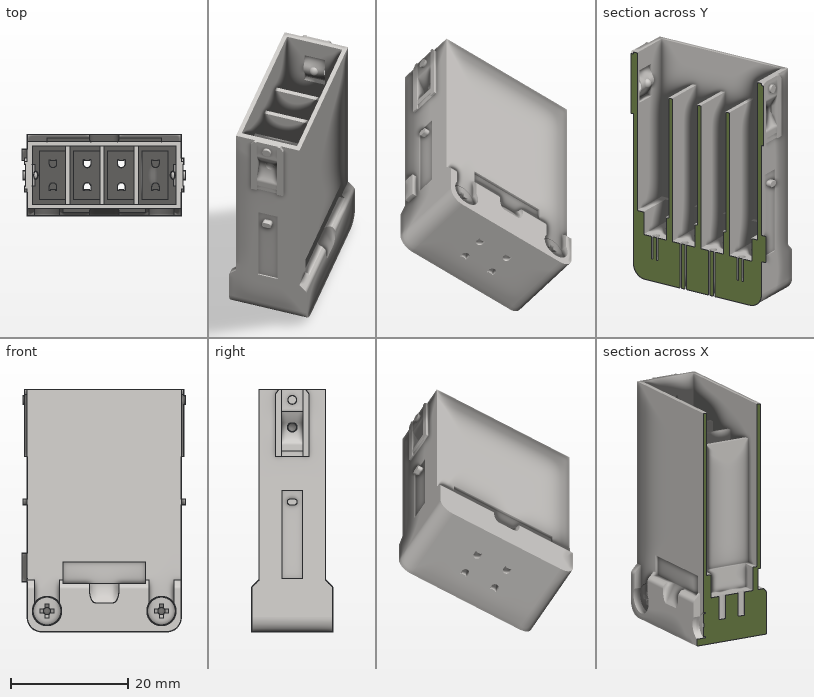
import cadquery as cq
import math

height = 41.4
body_width = 26.35
body_depth = 11.43
end_wall = 0.9
side_wall = 0.75
half_width = body_width / 2
half_depth = body_depth / 2

base_depth = 13.9
base_corner_radius = 2.5
plate = (base_depth - body_depth) / 2
plate_bevel_start = 7.65
bevel_blend_radius = 0.83

window_top = 11.92
window_bottom = 8.3
front_window_width = 14.15
back_window_width = 19.55
window_recess = 0.5
window_reach = 2 * plate
scoop_width = 5.05
scoop_flat = 3.02
scoop_bottom = 4.95

screw_x = 9.75
screw_z = 3.55
screw_hole_diameter = 5.0
screw_head_diameter = 4.75
screw_gap_depth = 0.4
channel_width = 4.25
cross_core_diameter = 1.25
cross_span = 2.45
cross_arm_width = 0.75
cross_arm_depth = 1.15
cross_core_depth = 1.25

floor_z = 12.4
partition_top = 34.53
partition_width = 0.75
partition_offset = -0.37
chamber_pitch = 5.85
pit_length = 8.3
pit_depth = 4.15
pit_margin = 0.6
pit_width = chamber_pitch - partition_width - pit_margin
contact_diameter = 1.3
contact_y = 1.95
contact_square_reach = 0.65
contact_tab_width = 0.83
contact_tab_height = 0.12
blind_contact_depth = 4.15

key_width = 1.95
key_bottom = 8.53
key_top = 13.45
key_y = 3.48
key_reach = 0.9

label_width = 3.45
label_bottom = 9.15
label_top = 24.18
label_recess = 0.2
lug_length = 1.65
lug_height = 1.05
lug_z = 22.2
stud_reach = 0.75

clip_bottom = 29.95
clip_width = 3.73
clip_reach = 0.3
clip_step_z = 30.93
clip_step = 0.12
rail_outer_width = 5.8
rail_reach = 0.45
rail_bevel = 0.6
rail_bevel_height = 0.83
stud_diameter = 1.5
stud_z = 39.6
bend_z = 34.95
bend_half_height = 2.8
bend_depth = 1.65
bend_radius = 1.45
bend_edge_radius = 0.83
clip_window_margin = 0.15
sheet = 0.2
dimple_radius = 0.75
dome_radius = dimple_radius + 0.1
dimple_center = 1.08


def block(x0, x1, y0, y1, z0, z1):
    """Box given by its limits along the three axes."""
    return cq.Workplane("XY").box(x1 - x0, y1 - y0, z1 - z0, centered=False).translate((x0, y0, z0))


def mirrored_pair(shape, plane):
    """The shape together with its mirror image."""
    return shape.union(shape.mirror(plane))


def make_base():
    """Base block whose plates end in a bevel that blends into the plate face."""
    half = base_depth / 2
    bevel_top = plate_bevel_start + plate
    profile = [
        (-half, 0),
        (half, 0),
        (half, plate_bevel_start),
        (half_depth, bevel_top),
        (-half_depth, bevel_top),
        (-half, plate_bevel_start),
    ]
    base = cq.Workplane("YZ").polyline(profile).close().extrude(half_width, both=True)
    margin = 0.05
    for y in (-half, half):
        bend = cq.selectors.BoxSelector(
            (-body_width, y - margin, plate_bevel_start - margin),
            (body_width, y + margin, plate_bevel_start + margin),
        )
        base = base.edges(bend).fillet(bevel_blend_radius)
    return base


def make_housing():
    """Solid base and body, with the two lower corners rounded along Y."""
    body = block(-half_width, half_width, -half_depth, half_depth, 0, height)
    outline = (
        block(-half_width, half_width, -base_depth, base_depth, 0, height)
        .edges("|Y and <Z")
        .fillet(base_corner_radius)
    )
    return make_base().union(body).intersect(outline)


def make_window(width):
    """Latch window of the front face, including the shelf it leaves on the plate."""
    half = width / 2
    front = -half_depth - window_reach
    back = -half_depth + window_recess
    return block(-half, half, front, back, window_bottom, window_top)


def make_scoop():
    """Ramp running down and out through the front plate, with rounded flanks."""
    run = window_bottom - scoop_bottom
    depth = plate + window_recess
    tilt = math.degrees(math.atan2(depth, run))
    flank = (scoop_width - scoop_flat) / 2
    ramp_length = math.hypot(run, depth)
    flat = scoop_flat / 2
    edge = scoop_width / 2
    opening = 3 * plate
    trough = (
        cq.Workplane("XY")
        .moveTo(-flat, 0)
        .lineTo(flat, 0)
        .radiusArc((edge, flank), -flank)
        .lineTo(edge, opening)
        .lineTo(-edge, opening)
        .lineTo(-edge, flank)
        .radiusArc((-flat, 0), -flank)
        .close()
        .extrude(2 * ramp_length, both=True)
        .rotate((0, 0, 0), (0, 0, 1), 180)
        .rotate((0, 0, 0), (1, 0, 0), -tilt)
        .translate((0, window_recess - half_depth, window_bottom))
    )
    limit = block(-edge, edge, -base_depth, window_recess - half_depth, 0, window_bottom)
    return trough.intersect(limit)


def make_screw_cut():
    """Hole, access channel, head gap and cross recess of one screw."""
    face = cq.Workplane("XZ", origin=(0, -half_depth, screw_z))
    hole = face.circle(screw_hole_diameter / 2).extrude(2 * plate)
    half_channel = channel_width / 2
    channel = block(-half_channel, half_channel, -base_depth, -half_depth, screw_z, height / 2)
    gap = (
        face.circle(screw_hole_diameter / 2)
        .circle(screw_head_diameter / 2)
        .extrude(-screw_gap_depth)
    )
    core = face.circle(cross_core_diameter / 2).extrude(-cross_core_depth)
    cut = hole.union(channel).union(gap).union(core)
    arm_profile = [
        (-cross_span / 2, 0),
        (cross_span / 2, 0),
        (0, cross_arm_depth),
    ]
    arms = (
        cq.Workplane("XY")
        .polyline(arm_profile)
        .close()
        .extrude(cross_arm_width / 2, both=True)
        .translate((0, -half_depth, screw_z))
    )
    for angle in (0, 90):
        cut = cut.union(arms.rotate((0, 0, screw_z), (0, 1, screw_z), angle))
    return cut


def make_contact_hole(x, side, bottom):
    """Contact hole, round towards the middle, square with a narrow tab on its outer side."""
    radius = contact_diameter / 2
    reach = contact_square_reach
    bore = cq.Workplane("XY", origin=(0, 0, bottom)).circle(radius).extrude(floor_z - bottom)
    square = block(-radius, radius, 0, reach, bottom, floor_z)
    half_tab = contact_tab_width / 2
    tab = block(-half_tab, half_tab, reach - contact_tab_height, reach, bottom, floor_z)
    hole = bore.union(square).cut(tab)
    if side < 0:
        hole = hole.mirror("XZ")
    return hole.translate((x, side * contact_y, 0))


def make_cavity():
    """Inside of the housing: chambers, partitions, pits and contact holes."""
    inner_x = half_width - end_wall
    inner_y = half_depth - side_wall
    cavity = block(-inner_x, inner_x, -inner_y, inner_y, floor_z, height)
    pit_bottom = floor_z - pit_depth
    for index in (-1, 0, 1):
        x = partition_offset + index * chamber_pitch - partition_width / 2
        cavity = cavity.cut(block(x, x + partition_width, -inner_y, inner_y, floor_z, partition_top))
    for index in (-2, -1, 0, 1):
        pit_x = partition_offset + index * chamber_pitch + partition_width / 2 + pit_margin
        pit = block(pit_x, pit_x + pit_width, -pit_length / 2, pit_length / 2, pit_bottom, floor_z)
        cavity = cavity.union(pit)
        contact_x = (index + 0.5) * chamber_pitch
        is_through = index in (-1, 0)
        hole_bottom = 0 if is_through else pit_bottom - blind_contact_depth
        for side in (-1, 1):
            cavity = cavity.union(make_contact_hole(contact_x, side, hole_bottom))
    return cavity


def make_bend(surface_x, tip_x, half_height):
    """Rounded V of the bent clip, from the given surface in to its tip, on the -X end."""
    return (
        cq.Workplane("XZ")
        .polyline([
            (surface_x, bend_z - half_height),
            (tip_x, bend_z),
            (surface_x, bend_z + half_height),
        ])
        .close()
        .extrude(clip_width / 2, both=True)
        .edges("|Y and >X")
        .fillet(bend_radius)
    )


def make_rails():
    """The two rails beside the clip on the -X end, bevelled at the top."""
    outer = rail_outer_width / 2
    inner = clip_width / 2
    rail = (
        cq.Workplane("YZ", origin=(-half_width - rail_reach, 0, 0))
        .polyline([
            (inner, clip_bottom),
            (outer, clip_bottom),
            (outer, height - rail_bevel_height),
            (outer - rail_bevel, height),
            (inner, height),
        ])
        .close()
        .extrude(rail_reach)
    )
    return mirrored_pair(rail, "XZ")


def make_studs():
    """Round clip stud and locking lug on the -X end."""
    face = cq.Workplane("YZ", origin=(-half_width - stud_reach, 0, 0))
    stud = face.center(0, stud_z).circle(stud_diameter / 2).extrude(stud_reach)
    lug = face.center(0, lug_z).slot2D(lug_length, lug_height).extrude(stud_reach + label_recess)
    return stud.union(lug)


def make_clip():
    """Spring clip on the -X end: flat strip, V bend reaching into the cavity, and dimple."""
    half = clip_width / 2
    surface_x = -half_width - clip_reach
    strip = block(surface_x, -half_width, -half, half, clip_step_z, height)
    foot = block(surface_x + clip_step, -half_width, -half, half, clip_bottom, clip_step_z)

    slope = math.atan2(bend_depth, bend_half_height)
    tip_x = surface_x + bend_depth
    inner_tip_x = tip_x + sheet / math.cos(slope)
    inner_bend = make_bend(surface_x, inner_tip_x, bend_half_height + sheet / math.sin(slope))
    clip = strip.union(foot).union(inner_bend).cut(make_bend(surface_x, tip_x, bend_half_height))

    margin = 0.05
    for z in (bend_z - bend_half_height, bend_z + bend_half_height):
        bend_edge = cq.selectors.BoxSelector(
            (surface_x - margin, -half, z - margin),
            (surface_x + margin, half, z + margin),
        )
        clip = clip.edges(bend_edge).edges("|Y").fillet(bend_edge_radius)

    center = (dimple_center - half_width, 0, bend_z)
    dome = cq.Workplane("XY").sphere(dome_radius).translate(center)
    dimple = cq.Workplane("XY").sphere(dimple_radius).translate(center)
    inner_half = block(center[0], 0, -half, half, clip_bottom, height)
    return clip.union(dome.intersect(inner_half)).cut(dimple)


def make_clip_window():
    """Opening through the -X end wall behind the bend of the clip."""
    half = clip_width / 2
    half_height = bend_half_height + clip_window_margin
    bottom = bend_z - half_height
    return block(-half_width, end_wall - half_width, -half, half, bottom, bend_z + half_height)


def make_label_recess():
    """Shallow label recess in the -X end face."""
    half = label_width / 2
    return block(-half_width, label_recess - half_width, -half, half, label_bottom, label_top)


def make_key():
    """Coding key standing on the -X end face."""
    half = key_width / 2
    return block(-half_width - key_reach, -half_width, key_y - half, key_y + half, key_bottom, key_top)


housing = make_housing()

scoop = make_scoop()
housing = housing.cut(mirrored_pair(scoop, "XZ"))
housing = housing.cut(make_window(front_window_width))
housing = housing.cut(make_window(back_window_width).mirror("XZ"))

for x in (-screw_x, screw_x):
    housing = housing.cut(make_screw_cut().translate((x, 0, 0)))

housing = housing.cut(make_cavity())
housing = housing.cut(mirrored_pair(make_label_recess(), "YZ"))
housing = housing.cut(mirrored_pair(make_clip_window(), "YZ"))
end_parts = make_clip().union(make_rails()).union(make_studs())
housing = housing.union(end_parts)
housing = housing.union(end_parts.mirror("YZ"))

result = housing.union(make_key())